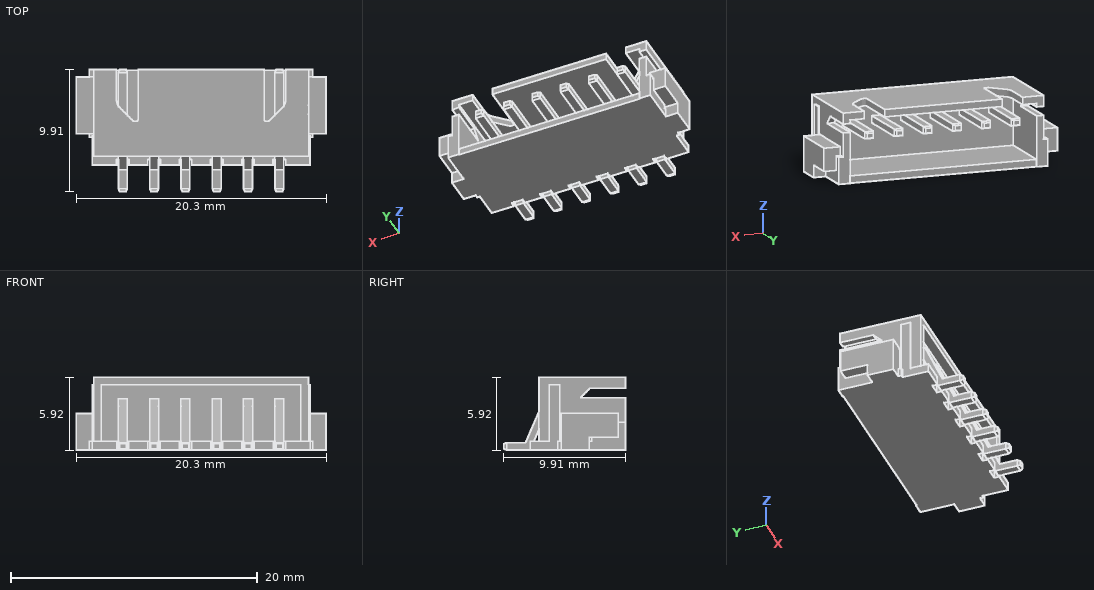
import cadquery as cq
import math


housing_width = 17.44
housing_depth = 7.05
housing_height = 5.92
wall = 0.62
cavity_width = housing_width - 2 * wall
cavity_height = housing_height - 2 * wall
floor_setback = 0.06

roof_slot_inner_x = 5.11
roof_slot_outer_x = 6.87
roof_slot_end_y = 2.85
roof_slot_end_flat = 0.38
roof_slot_end_radius = 0.15
roof_slot_bend_radius = 0.9

side_slot_bottom = 4.26
side_slot_top = 5.0
side_slot_end_y = 3.41

wafer_width = 17.68
wafer_front_y = 0.86
wafer_back_y = 1.69
wafer_height = housing_height - wall
foot_front_y = -0.71
foot_back_y = 1.55
foot_height = 0.73
foot_notch_width = 1.0
foot_notch_depth = 0.44

overall_width = 20.29
tab_front_y = 1.83
tab_back_y = 6.44
tab_height = 2.98
tab_foot_back_y = 4.09
tab_underside = 1.04
pad_width = 18.16
rear_pad_front_y = 4.30
rear_pad_height = 2.25

pin_count = 6
pin_pitch = 2.54
pin_width = 0.74
pin_thickness = 0.60
pin_mating_top = 4.14
pin_tail_y = -2.86
pin_knee_y = -1.08
pin_slope = math.radians(66.7)
pin_tip_length = 0.25
pin_tip_side_inset = 0.11
pin_tip_height_inset = 0.10

pin_positions = [(i - (pin_count - 1) / 2) * pin_pitch for i in range(pin_count)]


def box(x_range, y_range, z_range):
    """Axis-aligned box between the given limits."""
    size = [high - low for low, high in (x_range, y_range, z_range)]
    corner = (x_range[0], y_range[0], z_range[0])
    return cq.Workplane("XY").box(*size, centered=False).translate(corner)


def centred_box(width, y_range, z_range):
    """Box of the given width, symmetric about X = 0."""
    return box((-width / 2, width / 2), y_range, z_range)


def side_profile(points, width):
    """Extrude an outline of (y, z) points symmetrically about X = 0."""
    return cq.Workplane("YZ").polyline(points).close().extrude(width / 2, both=True)


def make_roof_slot():
    """Slot on the +X half: straight inner edge, outer edge bent 45 degrees inward."""
    diagonal_end_x = roof_slot_inner_x + roof_slot_end_flat
    bend_y = roof_slot_end_y + roof_slot_outer_x - diagonal_end_x
    slot = (
        cq.Workplane("XY")
        .workplane(offset=housing_height - wall)
        .moveTo(roof_slot_inner_x, housing_depth)
        .lineTo(roof_slot_inner_x, roof_slot_end_y)
        .lineTo(diagonal_end_x, roof_slot_end_y)
        .lineTo(roof_slot_outer_x, bend_y)
        .lineTo(roof_slot_outer_x, housing_depth)
        .close()
        .extrude(wall)
    )
    slot = slot.edges("|Z").edges("<Y").fillet(roof_slot_end_radius)
    bend = cq.selectors.NearestToPointSelector((roof_slot_outer_x, bend_y, housing_height))
    return slot.edges("|Z").edges(bend).fillet(roof_slot_bend_radius)


def make_side_slot():
    """Slot through both side walls, with a 45 degree inner end."""
    slot_height = side_slot_top - side_slot_bottom
    points = [
        (housing_depth, side_slot_bottom),
        (side_slot_end_y, side_slot_bottom),
        (side_slot_end_y + slot_height, side_slot_top),
        (housing_depth, side_slot_top),
    ]
    return side_profile(points, housing_width)


def make_housing():
    shell = centred_box(housing_width, (0, housing_depth), (0, housing_height))
    cavity = centred_box(cavity_width, (0, housing_depth), (wall, wall + cavity_height))
    floor_trim = centred_box(
        cavity_width, (housing_depth - floor_setback, housing_depth), (0, wall)
    )
    roof_slot = make_roof_slot()
    shell = shell.cut(cavity).cut(floor_trim).cut(make_side_slot())
    return shell.cut(roof_slot).cut(roof_slot.mirror("YZ"))


def make_wafer():
    """Upright plate across the housing with a foot notched around each pin."""
    plate = centred_box(wafer_width, (wafer_front_y, wafer_back_y), (0, wafer_height))
    foot = centred_box(wafer_width, (foot_front_y, foot_back_y), (0, foot_height))
    for x in pin_positions:
        notch = centred_box(
            foot_notch_width, (foot_front_y, foot_front_y + foot_notch_depth), (0, foot_height)
        )
        foot = foot.cut(notch.translate((x, 0, 0)))
    return plate.union(foot)


def make_side_tabs():
    """Tab blocks stepped up at the rear, plus low pads beside the housing."""
    tab_points = [
        (tab_front_y, 0),
        (tab_front_y, tab_height),
        (tab_back_y, tab_height),
        (tab_back_y, tab_underside),
        (tab_foot_back_y, tab_underside),
        (tab_foot_back_y, 0),
    ]
    low_pad = centred_box(pad_width, (foot_back_y, rear_pad_front_y), (0, foot_height))
    rear_pad = centred_box(pad_width, (rear_pad_front_y, housing_depth), (0, rear_pad_height))
    tabs = side_profile(tab_points, overall_width).union(low_pad).union(rear_pad)
    between_walls = centred_box(cavity_width, (0, housing_depth), (0, housing_height))
    return tabs.cut(between_walls)


def make_pin_tip(root_y, direction, bottom):
    """Tapered pin end that starts at root_y and points along +Y or -Y."""
    middle = bottom + pin_thickness / 2
    plane = cq.Plane(origin=(0, root_y, middle), xDir=(1, 0, 0), normal=(0, direction, 0))
    end_width = pin_width - 2 * pin_tip_side_inset
    end_thickness = pin_thickness - 2 * pin_tip_height_inset
    return (
        cq.Workplane(plane)
        .rect(pin_width, pin_thickness)
        .workplane(offset=pin_tip_length)
        .rect(end_width, end_thickness)
        .loft(ruled=True)
    )


def make_pin():
    """Solder tail, sloped riser and mating post, all of one thickness."""
    mating_bottom = pin_mating_top - pin_thickness
    knee_shift = pin_thickness * math.tan(pin_slope / 2)
    riser_run = mating_bottom / math.tan(pin_slope)
    tail_root_y = pin_tail_y + pin_tip_length
    mating_root_y = housing_depth - pin_tip_length
    points = [
        (tail_root_y, 0),
        (pin_knee_y + knee_shift, 0),
        (pin_knee_y + knee_shift + riser_run, mating_bottom),
        (mating_root_y, mating_bottom),
        (mating_root_y, pin_mating_top),
        (pin_knee_y + riser_run, pin_mating_top),
        (pin_knee_y, pin_thickness),
        (tail_root_y, pin_thickness),
    ]
    pin = side_profile(points, pin_width)
    pin = pin.union(make_pin_tip(tail_root_y, -1, 0))
    return pin.union(make_pin_tip(mating_root_y, 1, mating_bottom))


result = make_housing().union(make_wafer()).union(make_side_tabs())
pin = make_pin()
for x in pin_positions:
    result = result.union(pin.translate((x, 0, 0)))